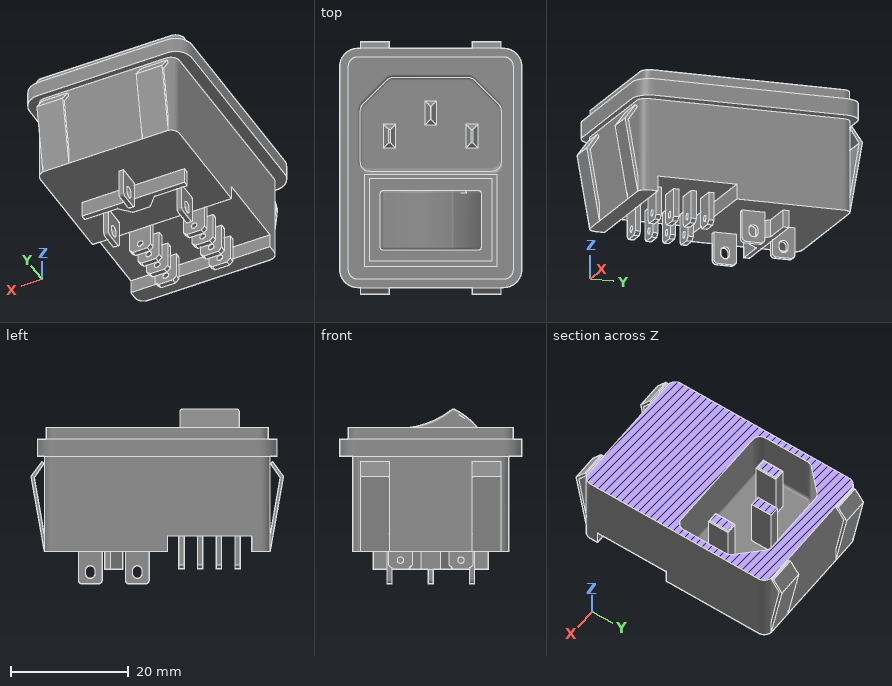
import cadquery as cq


flange_width = 31.0
flange_length = 40.7
flange_height = 2.9
flange_corner_radius = 3.15
step_inset = 1.45
step_height = 2.0
bezel_top = flange_height + step_height

body_width = 26.57
body_length = 38.4
body_depth = 16.2
body_corner_radius = 1.65
body_bottom = -body_depth

notch_front = -16.0
notch_back = -1.75
notch_height = 2.6
notch_top = body_bottom + notch_height

cavity_half_width = 11.98
cavity_front = -0.55
cavity_back = 15.35
cavity_chamfer = 5.0
cavity_depth = 16.0
cavity_corner_radius = 1.55
cavity_edge_radius = 0.5
cavity_floor = bezel_top - cavity_depth

pin_length = 4.08
pin_tip_height = 1.3
pin_tip_inset = 0.9
earth_pin_width = 1.95
earth_pin_y = 9.35
earth_pin_top = 2.9
line_pin_width = 2.1
line_pin_x = 7.0
line_pin_y = 5.4
line_pin_top = 0.05

frame_width = 22.45
frame_length = 15.63
frame_y = -8.9
frame_drop = 0.17
well_width = 20.75
well_length = 14.1
well_y = -8.8
well_depth = 0.8
frame_top = bezel_top - frame_drop
well_floor = frame_top - well_depth

rocker_length = 17.17
rocker_width = 10.1
rocker_low_top = 4.75
rocker_end_slant = 0.6
rocker_flat_end_x = -5.7
rocker_peak_x = 3.78
rocker_peak_z = 8.1
rocker_dish_radius = 15.4
rocker_round_mid_x = 6.3
rocker_round_mid_z = 6.53
rocker_edge_radius = 0.45

clip_width = 4.95
clip_x = 9.5
clip_half_span = 21.45
clip_knee_z = -3.45
clip_tip_y = 19.58
clip_tip_z = -0.85
clip_inner_knee_y = 20.85
clip_inner_knee_z = -3.6
clip_inner_tip_y = 19.25
clip_inner_tip_z = -1.25
clip_foot_thickness = 0.5

blade_width = 4.08
blade_thickness = 0.9
blade_length = 5.5
blade_corner_radius = 0.7
blade_hole_width = 1.6
blade_hole_length = 2.1
blade_hole_drop = 3.48
earth_blade_y = 11.38
line_blade_y = 3.4

tab_width = 4.05
tab_thickness = 0.95
tab_bottom = -19.1
tab_corner = 0.65
tab_hole_diameter = 1.07
tab_hole_drop = 1.45
tab_x = 5.15
tab_first_y = -4.1
tab_pitch = 3.18
tab_rows = 4

rib_half_length = 9.8
rib_back = 8.95
rib_front = 7.9
rib_nose_front = 5.85
rib_nose_half_base = 3.5
rib_nose_half_tip = 1.65
rib_height = 3.0

embed = 0.45


def block(width, length, bottom, top, x=0.0, y=0.0):
    """Box centred at x, y between two heights."""
    height = top - bottom
    return cq.Workplane("XY", origin=(x, y, bottom)).rect(width, length).extrude(height)


def rounded_block(width, length, bottom, top, radius):
    return block(width, length, bottom, top).edges("|Z").fillet(radius)


def make_housing():
    flange = rounded_block(flange_width, flange_length, 0, flange_height, flange_corner_radius)
    step = rounded_block(
        flange_width - 2 * step_inset,
        flange_length - 2 * step_inset,
        0,
        bezel_top,
        flange_corner_radius - step_inset,
    )
    body = rounded_block(body_width, body_length, body_bottom, flange_height, body_corner_radius)
    notch = block(
        body_width + 2 * embed,
        notch_back - notch_front,
        body_bottom - embed,
        notch_top,
        y=(notch_front + notch_back) / 2,
    )
    return flange.union(step).union(body).cut(notch)


def cut_inlet(housing):
    """Cut the inlet cavity, with its rim and floor edges rounded."""
    shoulder_x = cavity_half_width - cavity_chamfer
    shoulder_y = cavity_back - cavity_chamfer
    cavity = (
        cq.Workplane("XY", origin=(0, 0, cavity_floor))
        .polyline([
            (-cavity_half_width, cavity_front),
            (cavity_half_width, cavity_front),
            (cavity_half_width, shoulder_y),
            (shoulder_x, cavity_back),
            (-shoulder_x, cavity_back),
            (-cavity_half_width, shoulder_y),
        ])
        .close()
        .extrude(cavity_depth)
        .edges("|Z").fillet(cavity_corner_radius)
        .faces("<Z").edges().fillet(cavity_edge_radius)
    )
    rim = cq.selectors.BoxSelector(
        (-cavity_half_width - embed, cavity_front - embed, bezel_top - embed),
        (cavity_half_width + embed, cavity_back + embed, bezel_top + embed),
    )
    return housing.cut(cavity).edges(rim).fillet(cavity_edge_radius)


def cut_switch_frame(housing):
    frame = block(frame_width, frame_length, frame_top, bezel_top + embed, y=frame_y)
    well = block(well_width, well_length, well_floor, bezel_top, y=well_y)
    return housing.cut(frame).cut(well)


def make_pin(width, x, y, top):
    """Contact pin rising from the cavity floor to a roof-shaped tip."""
    pin = block(width, pin_length, cavity_floor - embed, top, x, y)
    return pin.faces(">Z").chamfer(pin_tip_height, pin_tip_inset)


def make_rocker():
    """Rocker with a dished slope on -X, a peak, and a rounded slope on +X."""
    half_length = rocker_length / 2
    dish_run = rocker_peak_x - rocker_flat_end_x
    dish_mid_x = rocker_flat_end_x + dish_run / 2
    dish_mid_rise = rocker_dish_radius - (rocker_dish_radius**2 - (dish_run / 2) ** 2) ** 0.5
    rocker = (
        cq.Workplane("XZ", origin=(0, frame_y + rocker_width / 2, 0))
        .moveTo(-half_length, well_floor)
        .lineTo(-half_length + rocker_end_slant, rocker_low_top)
        .lineTo(rocker_flat_end_x, rocker_low_top)
        .threePointArc((dish_mid_x, rocker_low_top + dish_mid_rise), (rocker_peak_x, rocker_peak_z))
        .threePointArc((rocker_round_mid_x, rocker_round_mid_z), (half_length, well_floor))
        .close()
        .extrude(rocker_width)
    )
    return rocker.edges("not <Z").fillet(rocker_edge_radius)


def make_clip(x, side):
    """Bent spring clip on one end of the body; side is +1 or -1 along Y."""
    foot_y = body_length / 2
    profile = [
        (foot_y, body_bottom),
        (clip_half_span, clip_knee_z),
        (clip_tip_y, clip_tip_z),
        (clip_inner_tip_y, clip_inner_tip_z),
        (clip_inner_knee_y, clip_inner_knee_z),
        (foot_y - clip_foot_thickness, body_bottom),
    ]
    return (
        cq.Workplane("YZ", origin=(x - clip_width / 2, 0, 0))
        .polyline([(side * y, z) for y, z in profile])
        .close()
        .extrude(clip_width)
    )


def make_blade(x, y):
    """Inlet terminal blade with rounded lower corners and an oval hole."""
    bottom = body_bottom - blade_length
    blade = block(blade_thickness, blade_width, bottom, body_bottom + embed, x, y)
    blade = blade.edges("|X and <Z").fillet(blade_corner_radius)
    hole = (
        cq.Workplane("YZ", origin=(x - blade_thickness, y, body_bottom - blade_hole_drop))
        .slot2D(blade_hole_length, blade_hole_width, 90)
        .extrude(2 * blade_thickness)
    )
    return blade.cut(hole)


def make_tab(x, y):
    """Switch terminal tab with chamfered lower corners and a round hole."""
    tab = block(tab_width, tab_thickness, tab_bottom, notch_top + embed, x, y)
    tab = tab.edges("|Y and <Z").chamfer(tab_corner)
    hole = (
        cq.Workplane("XZ", origin=(x, y + tab_thickness, body_bottom - tab_hole_drop))
        .circle(tab_hole_diameter / 2)
        .extrude(2 * tab_thickness)
    )
    return tab.cut(hole)


def make_rib():
    """Rib along X with a tapered nose at its middle."""
    return (
        cq.Workplane("XY", origin=(0, 0, body_bottom - rib_height))
        .polyline([
            (-rib_half_length, rib_back),
            (-rib_half_length, rib_front),
            (-rib_nose_half_base, rib_front),
            (-rib_nose_half_tip, rib_nose_front),
            (rib_nose_half_tip, rib_nose_front),
            (rib_nose_half_base, rib_front),
            (rib_half_length, rib_front),
            (rib_half_length, rib_back),
        ])
        .close()
        .extrude(rib_height + embed)
    )


result = cut_switch_frame(cut_inlet(make_housing()))
result = result.union(make_rocker()).union(make_rib())

result = result.union(make_pin(earth_pin_width, 0, earth_pin_y, earth_pin_top))
result = result.union(make_blade(0, earth_blade_y))

for side in (-1, 1):
    result = result.union(make_pin(line_pin_width, side * line_pin_x, line_pin_y, line_pin_top))
    result = result.union(make_blade(side * line_pin_x, line_blade_y))
    for end in (-1, 1):
        result = result.union(make_clip(side * clip_x, end))
    for row in range(tab_rows):
        result = result.union(make_tab(side * tab_x, tab_first_y - row * tab_pitch))